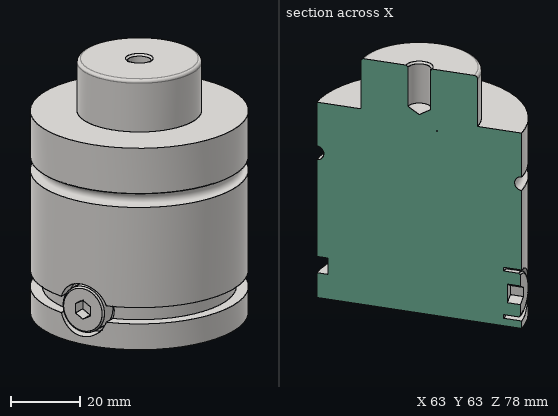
import cadquery as cq
import math

BODY_DIAMETER = 63.0
BODY_HEIGHT = 62.0
BODY_RADIUS = BODY_DIAMETER / 2

ROD_DIAMETER = 36.0
ROD_LENGTH = 16.0
ROD_EDGE_FILLET = 1.0
TOTAL_HEIGHT = BODY_HEIGHT + ROD_LENGTH

TAP_DIAMETER = 6.8
TAP_MOUTH_DIAMETER = 8.0
TAP_DEPTH = 13.0
DRILL_POINT_ANGLE = 118.0

ROUND_GROOVE_RADIUS = 2.1
ROUND_GROOVE_HEIGHT = 45.9

SQUARE_GROOVE_BOTTOM = 8.0
SQUARE_GROOVE_WIDTH = 5.0
SQUARE_GROOVE_DEPTH = 3.5

PLUG_HEIGHT = SQUARE_GROOVE_BOTTOM + SQUARE_GROOVE_WIDTH / 2
POCKET_DIAMETER = 16.0
POCKET_FLOOR_RADIUS = 26.0
PLUG_DIAMETER = 14.0
PLUG_FACE_RADIUS = 31.1
PLUG_EDGE_CHAMFER = 0.5
HEX_ACROSS_FLATS = 5.0
HEX_DEPTH = 4.0
HEX_TURN = 30.0


def plug_plane(distance):
    """Plane facing -Y at the given distance from the body axis."""
    return cq.Workplane("XZ", origin=(0, -distance, PLUG_HEIGHT))


def make_body():
    return cq.Workplane("XY").circle(BODY_RADIUS).extrude(BODY_HEIGHT)


def make_rod():
    rod = cq.Workplane("XY", origin=(0, 0, BODY_HEIGHT)).circle(ROD_DIAMETER / 2).extrude(ROD_LENGTH)
    return rod.faces(">Z").edges().fillet(ROD_EDGE_FILLET)


def make_tapping_hole():
    """Drilled hole with a 45 degree countersunk mouth and a conical bottom."""
    radius = TAP_DIAMETER / 2
    mouth_radius = TAP_MOUTH_DIAMETER / 2
    countersink_depth = mouth_radius - radius
    point_length = radius / math.tan(math.radians(DRILL_POINT_ANGLE / 2))
    shoulder = TOTAL_HEIGHT - TAP_DEPTH
    section = (
        cq.Workplane("XZ")
        .moveTo(0, TOTAL_HEIGHT)
        .lineTo(mouth_radius, TOTAL_HEIGHT)
        .lineTo(radius, TOTAL_HEIGHT - countersink_depth)
        .lineTo(radius, shoulder)
        .lineTo(0, shoulder - point_length)
        .close()
    )
    return section.revolve()


def make_round_groove():
    centre = cq.Vector(0, 0, ROUND_GROOVE_HEIGHT)
    return cq.Workplane(cq.Solid.makeTorus(BODY_RADIUS, ROUND_GROOVE_RADIUS, centre))


def make_square_groove():
    return (
        cq.Workplane("XY", origin=(0, 0, SQUARE_GROOVE_BOTTOM))
        .circle(BODY_RADIUS)
        .circle(BODY_RADIUS - SQUARE_GROOVE_DEPTH)
        .extrude(SQUARE_GROOVE_WIDTH)
    )


def make_plug_pocket():
    pocket_depth = BODY_RADIUS - POCKET_FLOOR_RADIUS
    return plug_plane(POCKET_FLOOR_RADIUS).circle(POCKET_DIAMETER / 2).extrude(pocket_depth)


def make_plug():
    """Plug screw standing on the pocket floor, with a hexagon socket that has corners at top and bottom."""
    plug_length = PLUG_FACE_RADIUS - POCKET_FLOOR_RADIUS
    plug = plug_plane(POCKET_FLOOR_RADIUS).circle(PLUG_DIAMETER / 2).extrude(plug_length)
    plug = plug.faces("<Y").edges().chamfer(PLUG_EDGE_CHAMFER)
    hex_across_corners = HEX_ACROSS_FLATS / math.cos(math.radians(HEX_TURN))
    socket = (
        plug_plane(PLUG_FACE_RADIUS - HEX_DEPTH)
        .polygon(6, hex_across_corners)
        .extrude(HEX_DEPTH)
        .rotate((0, 0, PLUG_HEIGHT), (0, 1, PLUG_HEIGHT), HEX_TURN)
    )
    return plug.cut(socket)


result = (
    make_body()
    .union(make_rod())
    .cut(make_tapping_hole())
    .cut(make_round_groove())
    .cut(make_square_groove())
    .cut(make_plug_pocket())
    .union(make_plug())
)